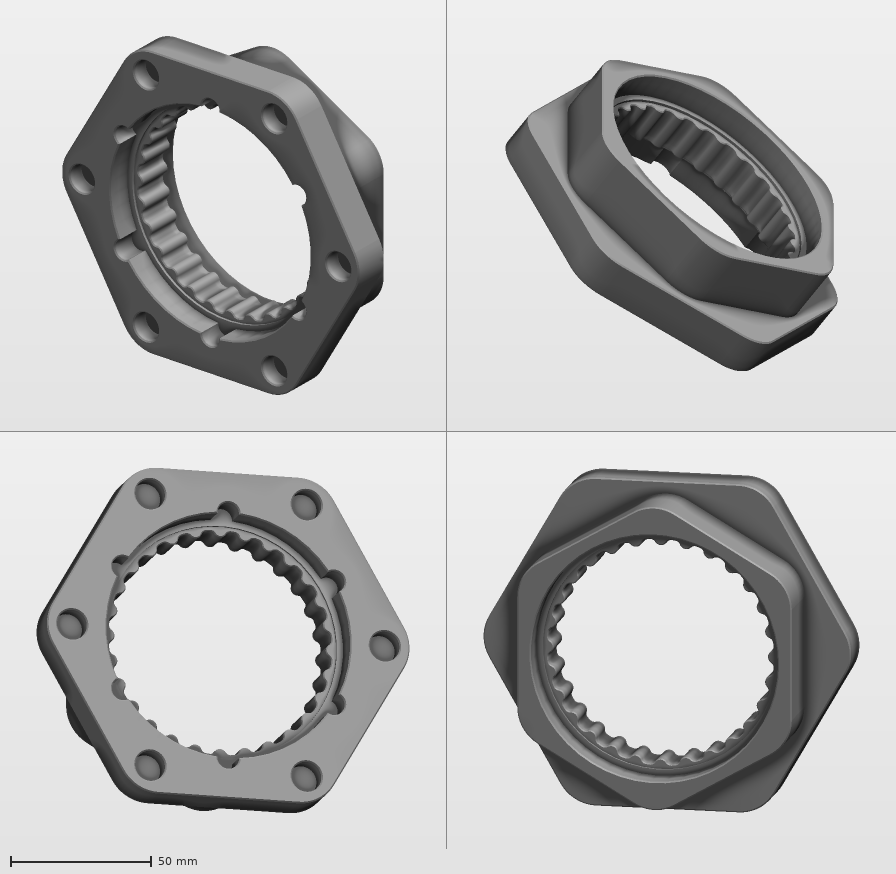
import cadquery as cq
import math


flange_across_flats = 120.0
flange_thickness = 15.0
hub_across_flats = 100.0
hub_length = 22.0
corner_radius = 15.0
edge_chamfer = 0.5
total_length = flange_thickness + hub_length

recess_radius = 45.0
recess_depth = 10.0
notch_radius = 4.0
notch_count = 6
bore_radius = 42.75

rear_recess_radius = 45.0
rear_recess_depth = 10.0

hole_radius = 5.5
hole_circle_radius = hub_across_flats / math.sqrt(3)
hole_depth = 7.0
hole_count = 6

tooth_count = 28
tooth_tip_radius = 39.0
tooth_root_radius = 41.2
tooth_nose_radius = 2.5
root_fillet_radius = 2.0
spline_chamfer = 0.4
ring_length = 15.0
ring_setback = 1.0
ring_front = recess_depth + ring_setback


def plane_at(y):
    """Plane across the axis at depth y: local x along -X, local y along Z, normal along +Y."""
    return cq.Plane(origin=(0, y, 0), xDir=(-1, 0, 0), normal=(0, 1, 0))


def disc(radius, y, length):
    return cq.Workplane(plane_at(y)).circle(radius).extrude(length)


def polar(radius, angle):
    """Point in the cross plane; the angle is in degrees."""
    turn = math.radians(angle)
    return (radius * math.cos(turn), radius * math.sin(turn))


def rounded_hexagon(across_flats, y, length, first_corner_angle):
    corner_distance = across_flats / math.sqrt(3)
    corners = [polar(corner_distance, first_corner_angle + 60 * i) for i in range(6)]
    prism = cq.Workplane(plane_at(y)).polyline(corners).close().extrude(length)
    return prism.edges("|Y").fillet(corner_radius)


def flared_pocket(radius, depth, centers):
    """Round pockets cut from the front face, each with a chamfered mouth."""
    pockets = cq.Workplane(plane_at(0)).pushPoints(centers).circle(radius).extrude(depth)
    mouth = (
        cq.Workplane(plane_at(0))
        .circle(radius + edge_chamfer)
        .workplane(offset=edge_chamfer)
        .circle(radius)
        .loft()
    )
    for x, z in centers:
        pockets = pockets.union(mouth.translate((-x, 0, z)))
    return pockets


def rear_recess():
    """Recess with a chamfered mouth, cut from the rear face of the hub."""
    floor = total_length - rear_recess_depth
    mouth = (
        cq.Workplane(plane_at(total_length - edge_chamfer))
        .circle(rear_recess_radius)
        .workplane(offset=edge_chamfer)
        .circle(rear_recess_radius + edge_chamfer)
        .loft()
    )
    return disc(rear_recess_radius, floor, rear_recess_depth).union(mouth)


def build_housing():
    flange = rounded_hexagon(flange_across_flats, 0, flange_thickness, 0)
    flange = flange.faces("<Y or >Y").chamfer(edge_chamfer)
    hub = rounded_hexagon(hub_across_flats, flange_thickness, hub_length, 90)
    hub = hub.faces(">Y").chamfer(edge_chamfer)
    body = flange.union(hub)

    hole_centers = [polar(hole_circle_radius, 360 / hole_count * i) for i in range(hole_count)]
    notch_centers = [polar(recess_radius, 90 + 360 / notch_count * i) for i in range(notch_count)]
    body = body.cut(disc(bore_radius, 0, total_length))
    body = body.cut(rear_recess())
    body = body.cut(flared_pocket(recess_radius, recess_depth, [(0, 0)]))
    body = body.cut(flared_pocket(notch_radius, recess_depth, notch_centers))
    return body.cut(flared_pocket(hole_radius, hole_depth, hole_centers))


def spline_opening():
    """Opening through the ring: round tooth noses and root fillets as tangent arcs, joined by root arcs."""
    nose_center = tooth_tip_radius + tooth_nose_radius
    fillet_center = tooth_root_radius - root_fillet_radius
    center_gap = tooth_nose_radius + root_fillet_radius
    fillet_angle = math.degrees(
        math.acos(
            (nose_center**2 + fillet_center**2 - center_gap**2) / (2 * nose_center * fillet_center)
        )
    )
    fillet_x, fillet_y = polar(fillet_center, fillet_angle)
    nose_share = tooth_nose_radius / center_gap
    touch_x = nose_center + (fillet_x - nose_center) * nose_share
    touch_y = fillet_y * nose_share
    touch_radius = math.hypot(touch_x, touch_y)
    touch_angle = math.degrees(math.atan2(touch_y, touch_x))

    touch_direction = math.degrees(math.atan2(touch_y - fillet_y, touch_x - fillet_x)) % 360
    middle_dx, middle_dy = polar(root_fillet_radius, (touch_direction + fillet_angle + 360) / 2)
    middle_radius = math.hypot(fillet_x + middle_dx, fillet_y + middle_dy)
    middle_angle = math.degrees(math.atan2(fillet_y + middle_dy, fillet_x + middle_dx))

    pitch = 360 / tooth_count
    outline = cq.Workplane(plane_at(ring_front)).moveTo(*polar(touch_radius, -touch_angle))
    for i in range(tooth_count):
        tooth = pitch * i
        following = tooth + pitch
        outline = (
            outline.threePointArc(polar(tooth_tip_radius, tooth), polar(touch_radius, tooth + touch_angle))
            .threePointArc(
                polar(middle_radius, tooth + middle_angle),
                polar(tooth_root_radius, tooth + fillet_angle),
            )
            .threePointArc(
                polar(tooth_root_radius, tooth + pitch / 2),
                polar(tooth_root_radius, following - fillet_angle),
            )
            .threePointArc(
                polar(middle_radius, following - middle_angle),
                polar(touch_radius, following - touch_angle),
            )
        )
    return outline.close().extrude(ring_length)


def build_splined_ring():
    """Ring in the housing bore, with the spline edges chamfered at both ends."""
    blank = disc(bore_radius, ring_front, ring_length)
    ring = blank.cut(spline_opening())
    end_edges = ring.faces("<Y or >Y").edges()
    spline_edges = end_edges.filter(lambda edge: not edge.IsClosed())
    return spline_edges.chamfer(spline_chamfer)


housing = build_housing()
splined_ring = build_splined_ring()

result = cq.Compound.makeCompound([housing.val(), splined_ring.val()])